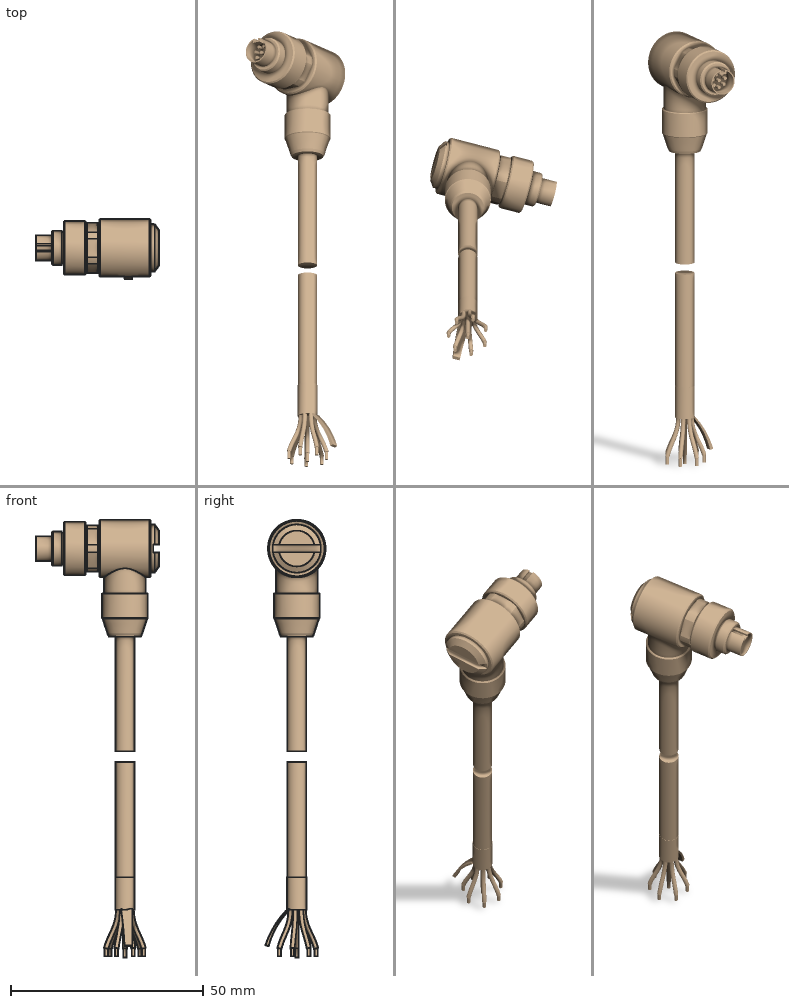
import cadquery as cq
import math


plug_length = 32.0
overall_height = 114.0

tip_x = -23.2
collar_x = -19.0
collar_end_x = -16.4
nut_x = -16.0
nut_end_x = -10.2
body_x = -6.7
body_end_x = 6.7
cap_bevel_x = 7.8
cap_end_x = tip_x + plug_length

shell_diameter = 6.6
shell_bore = 6.0
collar_diameter = 9.0
neck_diameter = 8.3
nut_diameter = 14.0
flats_diameter = 13.1
flats_across = 12.2
flats_count = 6
groove_width = 0.3
groove_diameter = 11.6
body_diameter = 15.0
cap_diameter = 12.5
cap_end_diameter = 9.4
edge_chamfer = 0.3

outer_count = 7

socket_depth = 4.6
keyway_width = 1.1
keyway_depth = 0.7
key_wall = 0.5
pin_diameter = 0.85
pin_length = 2.3
pin_circle_radius = 1.8

slot_width = 2.0
slot_depth = 1.5

outlet_diameter = 11.0
gland_diameter = 12.0
gland_end_diameter = 11.6
gland_bevel = (gland_diameter - gland_end_diameter) / 2
gland_z = -11.6
cone_z = -18.2
cone_end_z = -22.2
cone_end_diameter = 9.0
outlet_end_z = -22.9
outlet_end_diameter = 8.3

cable_diameter = 5.0
sleeve_diameter = 5.1
break_top_z = -52.8
break_bottom_z = -55.5
sleeve_z = -85.7
sleeve_end_z = -94.1

lowest_z = body_diameter / 2 - overall_height
wire_diameter = 1.1
core_diameter = 0.9
insulation_end_z = -104.1
core_end_z = -106.2
wire_root_radius = 1.8
wire_spread_radius = 5.0
wire_embed = 0.2
wire_end_lean = 15

braid_stations = [
    (0.5, -2.0, sleeve_end_z + wire_embed, 30, 3.0, 0.5),
    (0.7, -4.8, -97.2, 37, 2.5, 0.6),
    (0.9, -7.8, -103.5, 15, 1.9, 0.9),
]


def cylinder_x(diameter, start, end):
    return cq.Workplane("YZ", origin=(start, 0, 0)).circle(diameter / 2).extrude(end - start)


def cylinder_z(diameter, top, bottom):
    return cq.Workplane("XY", origin=(0, 0, bottom)).circle(diameter / 2).extrude(top - bottom)


def ring_angles(first):
    return [first + i * 360 / outer_count for i in range(outer_count)]


def flats_section():
    """Round section with six wrench flats, set off by a groove at each end."""
    flats_x = nut_end_x + groove_width
    flats_end_x = body_x - groove_width
    hexagon = (
        cq.Workplane("YZ", origin=(flats_x, 0, 0))
        .polygon(flats_count, flats_across / math.cos(math.pi / flats_count))
        .extrude(flats_end_x - flats_x)
    )
    flats = cylinder_x(flats_diameter, flats_x, flats_end_x).intersect(hexagon)
    return flats.union(cylinder_x(groove_diameter, nut_end_x, body_x))


def cap():
    slotted_end = (
        cq.Workplane("XY")
        .moveTo(body_end_x, 0)
        .lineTo(body_end_x, cap_diameter / 2)
        .lineTo(cap_bevel_x, cap_diameter / 2)
        .lineTo(cap_end_x, cap_end_diameter / 2)
        .lineTo(cap_end_x, 0)
        .close()
        .revolve(360, (0, 0, 0), (1, 0, 0))
    )
    slot = cq.Workplane("XY").box(2 * slot_depth, cap_diameter, slot_width)
    return slotted_end.cut(slot.translate((cap_end_x, 0, 0)))


def outlet():
    """Turned cable outlet with the gland nut and its tapered end."""
    return (
        cq.Workplane("XZ")
        .lineTo(outlet_diameter / 2, 0)
        .lineTo(outlet_diameter / 2, gland_z)
        .lineTo(gland_end_diameter / 2, gland_z)
        .lineTo(gland_diameter / 2, gland_z - gland_bevel)
        .lineTo(gland_diameter / 2, cone_z + gland_bevel)
        .lineTo(gland_end_diameter / 2, cone_z)
        .lineTo(cone_end_diameter / 2, cone_end_z)
        .lineTo(outlet_end_diameter / 2, outlet_end_z)
        .lineTo(0, outlet_end_z)
        .close()
        .revolve(360, (0, 0, 0), (0, 1, 0))
    )


def keyway(width, depth):
    length = collar_x - tip_x
    top = shell_diameter / 2
    bar = cq.Workplane("XY").box(length, width, depth, centered=(False, True, False))
    return bar.translate((tip_x, 0, top - depth))


def pins():
    spots = [(0, 0)]
    for angle in ring_angles(-90):
        turn = math.radians(angle)
        spots.append((pin_circle_radius * math.cos(turn), pin_circle_radius * math.sin(turn)))
    floor_x = tip_x + socket_depth
    base = cq.Workplane("YZ", origin=(floor_x - pin_length, 0, 0))
    return base.pushPoints(spots).circle(pin_diameter / 2).extrude(pin_length)


def plug_shell():
    """Thin mating shell with an inward keyway on top and pins inside."""
    shell = cylinder_x(shell_diameter, tip_x, collar_x)
    shell = shell.cut(cylinder_x(shell_bore, tip_x, tip_x + socket_depth))
    key = keyway(keyway_width + 2 * key_wall, keyway_depth + key_wall)
    key = key.intersect(cylinder_x(shell_diameter, tip_x, collar_x))
    return shell.union(key).cut(keyway(keyway_width, keyway_depth))


def connector():
    collar = cylinder_x(collar_diameter, collar_x, collar_end_x).faces("<X").chamfer(edge_chamfer)
    neck = cylinder_x(neck_diameter, collar_x + edge_chamfer, nut_end_x)
    nut = cylinder_x(nut_diameter, nut_x, nut_end_x).faces("<X or >X").chamfer(edge_chamfer)
    body = cylinder_x(body_diameter, body_x, body_end_x).faces("<X or >X").chamfer(edge_chamfer)
    cable = cylinder_z(cable_diameter, outlet_end_z, break_top_z)
    whole = plug_shell().union(collar)
    for piece in (neck, nut, flats_section(), body, cap(), outlet(), cable, pins()):
        whole = whole.union(piece)
    return whole


def round_wire(angle, root_radius, end_radius, end_z):
    """Insulated wire bending outwards, with a straight bare core below it."""
    turn = math.radians(angle)
    out_x = math.cos(turn)
    out_y = math.sin(turn)
    root = (root_radius * out_x, root_radius * out_y, sleeve_end_z + wire_embed)
    end = (end_radius * out_x, end_radius * out_y, insulation_end_z)
    lean = math.radians(wire_end_lean if end_radius else 0)
    down = (0, 0, -1)
    outward = (math.sin(lean) * out_x, math.sin(lean) * out_y, -math.cos(lean))
    path = cq.Workplane("XY").spline([root, end], tangents=[down, outward])
    insulation = cq.Workplane("XY", origin=root).circle(wire_diameter / 2).sweep(path)
    core = cylinder_z(core_diameter, insulation_end_z, end_z).translate((end[0], end[1], 0))
    return insulation.union(core)


def braid():
    """Flat shield braid that bends towards -Y and thickens to its end."""
    sections = []
    for x, y, z, tilt, width, thickness in braid_stations:
        plane = cq.Plane((x, y, z)).rotated((-tilt, 0, 0))
        sections.append(cq.Workplane(plane).rect(width, thickness).wires().val())
    return cq.Workplane(cq.Solid.makeLoft(sections))


def cable_end():
    cable = cylinder_z(cable_diameter, break_bottom_z, sleeve_z)
    whole = cable.union(cylinder_z(sleeve_diameter, sleeve_z, sleeve_end_z))
    whole = whole.union(round_wire(0, 0, 0, lowest_z))
    for angle in ring_angles(90):
        whole = whole.union(round_wire(angle, wire_root_radius, wire_spread_radius, core_end_z))
    return whole.union(braid())


plug = connector()
stripped_cable = cable_end()
result = cq.Compound.makeCompound([plug.val(), stripped_cable.val()])